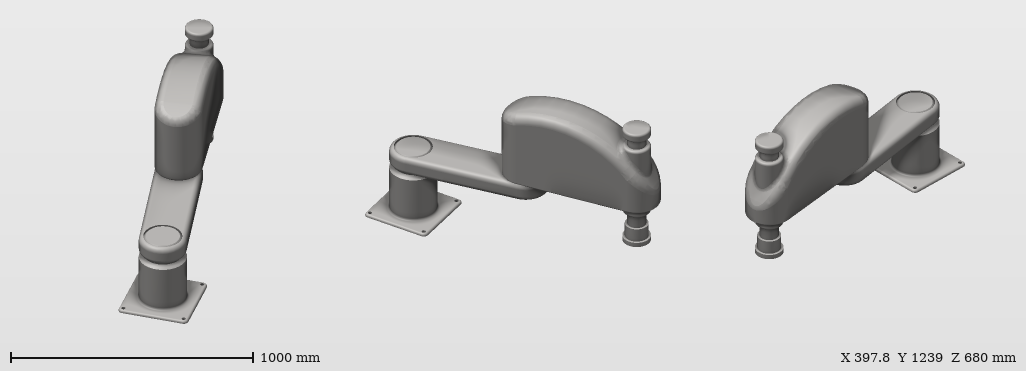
import cadquery as cq
import math


OVERALL_LENGTH = 1239
LINK_RADIUS = 200.0 / 2
SMALL_ROUND = 10.0

PLATE_SIDE = 300.0
PLATE_THICKNESS = 12.0
PLATE_CORNER_RADIUS = 20.0
MOUNT_HOLE_DIAMETER = 17.0
MOUNT_HOLE_PITCH = PLATE_SIDE - 2 * PLATE_CORNER_RADIUS
COLUMN_RADIUS = LINK_RADIUS
COLUMN_SHOULDER_Z = 213.0
SPIGOT_RADIUS = 80.0
SPIGOT_START_Z = 227.0

ARM_BOTTOM_Z = 234.0
ARM_THICKNESS = 80.0
ARM_TOP_Z = ARM_BOTTOM_Z + ARM_THICKNESS
ARM_EDGE_ROUND = 22.0
ARM_ANGLE = 9.6

FOREARM_ANGLE = 7.4
FOREARM_CROWN_RADIUS = 500.0
FOREARM_CROWN_Z = 675.0
FOREARM_CROWN_OFFSET = 149.0
FOREARM_TOP_ROUND = 40.0
FOREARM_BOTTOM_ROUND = 7.0
BOSS_RADIUS = 60.0
BOSS_BOTTOM_Z = 264.0
BOSS_TOP_Z = 596.0
BOSS_UPPER_ROOT_FILLET = 20.0
SELECTION_MARGIN = 0.1

SHAFT_RADIUS = 40.0
CAP_RADIUS = SHAFT_RADIUS + 2 * SMALL_ROUND
CAP_BOTTOM_Z = 640.0
CAP_TOP_Z = 680.0

TOOL_BOTTOM_Z = 120.0
TOOL_FLANGE_RADIUS = BOSS_RADIUS
TOOL_FLANGE_THICKNESS = 21.0
TOOL_BODY_RADIUS = 50.0
TOOL_TOP_Z = 202.0


JOINTS_SPAN_Y = OVERALL_LENGTH - PLATE_SIDE / 2 - LINK_RADIUS
LINK_LENGTH = JOINTS_SPAN_Y / (math.cos(math.radians(ARM_ANGLE)) + math.cos(math.radians(FOREARM_ANGLE)))


def joint_after(start, angle):
    """Plan position of the joint at the far end of a link swung by angle."""
    swing = math.radians(angle)
    return (start[0] - LINK_LENGTH * math.sin(swing), start[1] + LINK_LENGTH * math.cos(swing))


ELBOW = joint_after((0, 0), ARM_ANGLE)
WRIST = joint_after(ELBOW, FOREARM_ANGLE)


def link_blank(bottom_z, height):
    """Slot-shaped block from the origin along +Y, with a joint at each end."""
    return (
        cq.Workplane("XY", origin=(0, LINK_LENGTH / 2, bottom_z))
        .slot2D(LINK_LENGTH + 2 * LINK_RADIUS, 2 * LINK_RADIUS, 90)
        .extrude(height)
    )


def place_link(link, joint, angle):
    """Swing a link about its first joint and move that joint into place."""
    return link.rotate((0, 0, 0), (0, 0, 1), angle).translate((joint[0], joint[1], 0))


def vertical_cylinder(radius, bottom_z, top_z, centre=(0, 0)):
    return (
        cq.Workplane("XY", origin=(centre[0], centre[1], bottom_z))
        .circle(radius)
        .extrude(top_z - bottom_z)
    )


def revolve_about_z(profile):
    """Full turn of a profile drawn with radius across and height up."""
    return profile.revolve(360, (0, 0, 0), (0, 1, 0))


def make_base():
    plate = (
        cq.Workplane("XY")
        .rect(PLATE_SIDE, PLATE_SIDE)
        .extrude(PLATE_THICKNESS)
        .edges("|Z")
        .fillet(PLATE_CORNER_RADIUS)
        .faces(">Z")
        .edges()
        .fillet(SMALL_ROUND)
    )
    mount_holes = (
        cq.Workplane("XY")
        .rect(MOUNT_HOLE_PITCH, MOUNT_HOLE_PITCH, forConstruction=True)
        .vertices()
        .circle(MOUNT_HOLE_DIAMETER / 2)
        .extrude(PLATE_THICKNESS)
    )
    root_z = PLATE_THICKNESS + SMALL_ROUND
    column_profile = (
        cq.Workplane("XZ")
        .lineTo(COLUMN_RADIUS + SMALL_ROUND, 0)
        .lineTo(COLUMN_RADIUS + SMALL_ROUND, PLATE_THICKNESS)
        .radiusArc((COLUMN_RADIUS, root_z), SMALL_ROUND)
        .lineTo(COLUMN_RADIUS, COLUMN_SHOULDER_Z)
        .lineTo(SPIGOT_RADIUS, SPIGOT_START_Z)
        .lineTo(SPIGOT_RADIUS, ARM_TOP_Z - SMALL_ROUND)
        .lineTo(SPIGOT_RADIUS - SMALL_ROUND, ARM_TOP_Z)
        .lineTo(0, ARM_TOP_Z)
        .close()
    )
    return plate.cut(mount_holes).union(revolve_about_z(column_profile))


def make_inner_arm():
    arm = link_blank(ARM_BOTTOM_Z, ARM_THICKNESS).faces("<Z or >Z").edges().fillet(ARM_EDGE_ROUND)
    spigot_hole = vertical_cylinder(SPIGOT_RADIUS, ARM_BOTTOM_Z, ARM_TOP_Z)
    return place_link(arm.cut(spigot_hole), (0, 0), ARM_ANGLE)


def boss_root_box(wrist, bottom_z, top_z):
    """Selector of the edges around the wrist boss that lie between two heights."""
    reach = BOSS_RADIUS + SELECTION_MARGIN
    return cq.selectors.BoxSelector(
        (wrist[0] - reach, wrist[1] - reach, bottom_z),
        (wrist[0] + reach, wrist[1] + reach, top_z),
        boundingbox=True,
    )


def make_forearm():
    crown = (
        cq.Workplane("YZ", origin=(-LINK_RADIUS, 0, 0))
        .center(FOREARM_CROWN_OFFSET, FOREARM_CROWN_Z - FOREARM_CROWN_RADIUS)
        .circle(FOREARM_CROWN_RADIUS)
        .extrude(2 * LINK_RADIUS)
    )
    housing = link_blank(ARM_TOP_Z, FOREARM_CROWN_Z - ARM_TOP_Z).intersect(crown)
    housing = housing.faces("<Z").edges().fillet(FOREARM_BOTTOM_ROUND)
    housing = housing.faces(">Z").edges().fillet(FOREARM_TOP_ROUND)
    wrist = (0, LINK_LENGTH)
    boss = vertical_cylinder(BOSS_RADIUS, BOSS_BOTTOM_Z, BOSS_TOP_Z, wrist)
    boss = boss.faces("<Z or >Z").edges().fillet(SMALL_ROUND)
    lower_root = boss_root_box(wrist, ARM_TOP_Z - SELECTION_MARGIN, ARM_TOP_Z + SELECTION_MARGIN)
    upper_root = boss_root_box(wrist, ARM_TOP_Z + SMALL_ROUND, BOSS_TOP_Z - SMALL_ROUND - SELECTION_MARGIN)
    housing = housing.union(boss)
    housing = housing.edges(lower_root).fillet(SMALL_ROUND)
    housing = housing.edges(upper_root).fillet(BOSS_UPPER_ROOT_FILLET)
    shaft_hole = vertical_cylinder(SHAFT_RADIUS, BOSS_BOTTOM_Z, BOSS_TOP_Z, wrist)
    return place_link(housing.cut(shaft_hole), ELBOW, FOREARM_ANGLE)


def make_quill():
    cap_side_bottom_z = CAP_BOTTOM_Z + SMALL_ROUND
    cap_side_top_z = CAP_TOP_Z - SMALL_ROUND
    profile = (
        cq.Workplane("XZ")
        .moveTo(0, TOOL_TOP_Z)
        .lineTo(SHAFT_RADIUS, TOOL_TOP_Z)
        .lineTo(SHAFT_RADIUS, CAP_BOTTOM_Z - SMALL_ROUND)
        .tangentArcPoint((CAP_RADIUS - SMALL_ROUND, CAP_BOTTOM_Z), relative=False)
        .tangentArcPoint((CAP_RADIUS, cap_side_bottom_z), relative=False)
        .lineTo(CAP_RADIUS, cap_side_top_z)
        .tangentArcPoint((CAP_RADIUS - SMALL_ROUND, CAP_TOP_Z), relative=False)
        .lineTo(0, CAP_TOP_Z)
        .close()
    )
    return revolve_about_z(profile).translate((WRIST[0], WRIST[1], 0))


def make_tool():
    flange_top_z = TOOL_BOTTOM_Z + TOOL_FLANGE_THICKNESS
    flange = vertical_cylinder(TOOL_FLANGE_RADIUS, TOOL_BOTTOM_Z, flange_top_z, WRIST)
    body = vertical_cylinder(TOOL_BODY_RADIUS, flange_top_z, TOOL_TOP_Z, WRIST)
    return flange.union(body)


base = make_base()
inner_arm = make_inner_arm()
forearm = make_forearm()
quill = make_quill()
tool = make_tool()

bodies = [base, inner_arm, forearm, quill, tool]
result = cq.Compound.makeCompound([body.solids().val() for body in bodies])